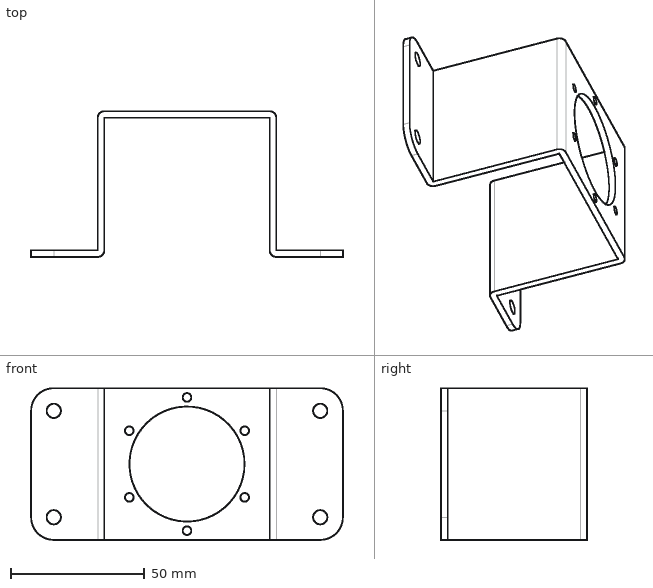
import cadquery as cq

length = 117.0
depth = 54.8
height = 57.0

thickness = 2.6
channel_width = 67.0
bend_radius = thickness

corner_radius = 8.5
mount_hole_diameter = 5.3

bore_diameter = 43.0
screw_hole_diameter = 3.2
screw_circle_diameter = 50.0
screw_count = 6
first_screw_angle = 90

front = -depth / 2
back = depth / 2
wall_outer = channel_width / 2
wall_inner = wall_outer - thickness
mount_spacing_x = length - 2 * corner_radius
mount_spacing_z = height - 2 * corner_radius


def plate(x_min, x_max, y_min, y_max):
    """Full-height plate with the given extents, centered on Z = 0."""
    return (
        cq.Workplane("XY")
        .box(x_max - x_min, y_max - y_min, height)
        .translate(((x_min + x_max) / 2, (y_min + y_max) / 2, 0))
    )


def bent_sheet():
    """Hat-shaped sheet with the outside of its four bends rounded."""
    solid = plate(-wall_outer, wall_outer, back - thickness, back)
    for wall_start, flange_start in (
        (-wall_outer, -length / 2),
        (wall_inner, wall_inner),
    ):
        solid = solid.union(plate(wall_start, wall_start + thickness, front, back))
        flange_end = flange_start + length / 2 - wall_inner
        solid = solid.union(plate(flange_start, flange_end, front, front + thickness))

    outside_bends = cq.selectors.BoxSelector(
        (-wall_outer - bend_radius / 2, back - bend_radius / 2, -height),
        (wall_outer + bend_radius / 2, back + bend_radius / 2, height),
    )
    inside_bends = cq.selectors.BoxSelector(
        (-wall_inner - bend_radius / 2, front - bend_radius / 2, -height),
        (wall_inner + bend_radius / 2, front + bend_radius / 2, height),
    )
    return solid.edges("|Z").edges(outside_bends + inside_bends).fillet(bend_radius)


def round_flange_corners(solid):
    """Round the outer corners of both flanges."""
    for end_face in ("<X", ">X"):
        solid = solid.faces(end_face).edges("|Y").fillet(corner_radius)
    return solid


mount_holes = (
    cq.Workplane("XZ")
    .rect(mount_spacing_x, mount_spacing_z, forConstruction=True)
    .vertices()
    .circle(mount_hole_diameter / 2)
    .extrude(depth, both=True)
)
bore = cq.Workplane("XZ").circle(bore_diameter / 2).extrude(depth, both=True)
screw_holes = (
    cq.Workplane("XZ")
    .polarArray(screw_circle_diameter / 2, first_screw_angle, 360, screw_count)
    .circle(screw_hole_diameter / 2)
    .extrude(depth, both=True)
)

result = round_flange_corners(bent_sheet()).cut(mount_holes).cut(bore).cut(screw_holes)